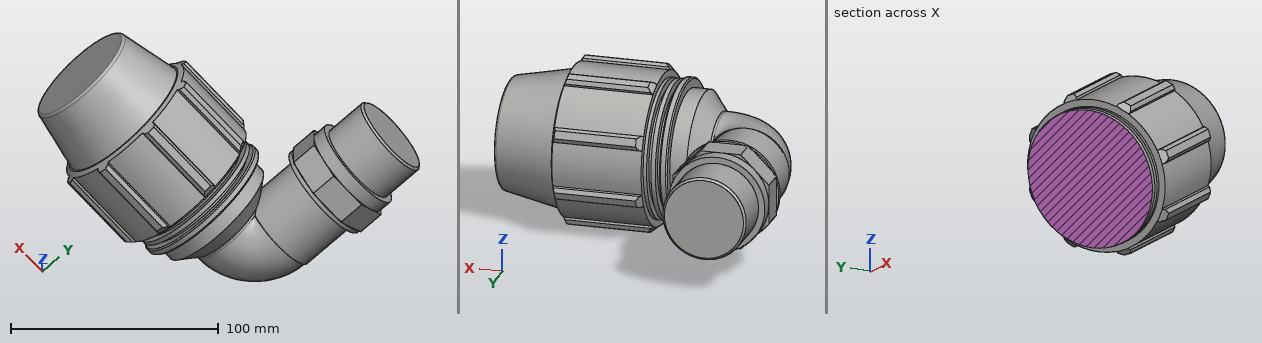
import cadquery as cq
import math


pipe_radius = 41.91 / 2
bend_center_x = 17.1
bend_center_y = 16.5

flange_radius = 50.29 / 2
flange_start_y = 45.85
octagon_start_y = 48.0
octagon_sides = 8
octagon_across_flats = 48.2
collar_start_y = 61.35
collar_end_y = 68.1
spigot_end_y = 90.0
spigot_chamfer = 1.1

cone_start_x = 18.3
body_start_x = 26.4
body_radius = 61.5 / 2
large_ring_radius = 71.34 / 2
large_ring_x = (34.8, 38.7)
large_ring_chamfer = 0.7
small_ring_radius = 69.2 / 2
small_ring_x = (40.9, 43.1)
nut_ring_start_x = 45.3

nut_start_x = 47.0
nut_end_x = 93.0
nut_radius = 38.1
nut_chamfer_length = 1.2
nut_chamfer_depth = 2.8
taper_start_radius = 34.5
taper_end_radius = 28.0
taper_end_x = 124.0
taper_end_fillet = 1.5

rib_count = 8
rib_top_half_width = 2.0
rib_half_width = 3.6
rib_shoulder = 39.1
rib_height_z = 77.16 / 2
rib_start_slope = 2.7
rib_root_depth = 2.0

rib_pitch = 360 / rib_count
half_pitch = math.radians(rib_pitch / 2)
rib_top = (rib_height_z - rib_top_half_width * math.sin(half_pitch)) / math.cos(half_pitch)


def cylinder_x(radius, start, end):
    return cq.Workplane("YZ").workplane(offset=start).circle(radius).extrude(end - start)


def cylinder_y(radius, start, end):
    return cq.Workplane("XZ").workplane(offset=-start).circle(radius).extrude(start - end)


def make_elbow():
    half_chord = math.sqrt(pipe_radius**2 - bend_center_y**2)
    section = (
        cq.Workplane("YZ", origin=(bend_center_x, 0, 0))
        .moveTo(bend_center_y, half_chord)
        .threePointArc((-pipe_radius, 0), (bend_center_y, -half_chord))
        .close()
    )
    bend = section.revolve(90, (bend_center_y, 0, 0), (bend_center_y, -1, 0))
    spigot_pipe = cylinder_y(pipe_radius, bend_center_y, flange_start_y)
    socket_pipe = cylinder_x(pipe_radius, bend_center_x, body_start_x)
    return bend.union(spigot_pipe).union(socket_pipe)


def make_spigot():
    corner_diameter = octagon_across_flats / math.cos(math.pi / octagon_sides)
    octagon = (
        cq.Workplane("XZ", origin=(0, octagon_start_y, 0))
        .transformed(rotate=(0, 0, 180 / octagon_sides))
        .polygon(octagon_sides, corner_diameter)
        .extrude(octagon_start_y - collar_start_y)
    )
    flange = cylinder_y(flange_radius, flange_start_y, octagon_start_y)
    collar = cylinder_y(octagon_across_flats / 2, collar_start_y, collar_end_y)
    thread = cylinder_y(pipe_radius, collar_end_y, spigot_end_y).faces(">Y").chamfer(spigot_chamfer)
    return flange.union(octagon).union(collar).union(thread)


def make_socket_body():
    body = (
        cq.Workplane("XY")
        .moveTo(cone_start_x, 0)
        .lineTo(cone_start_x, pipe_radius)
        .lineTo(body_start_x, body_radius)
        .lineTo(nut_start_x, body_radius)
        .lineTo(nut_start_x, 0)
        .close()
        .revolve(360, (0, 0, 0), (1, 0, 0))
    )
    large_ring = cylinder_x(large_ring_radius, *large_ring_x).faces("<X or >X").chamfer(large_ring_chamfer)
    small_ring = cylinder_x(small_ring_radius, *small_ring_x)
    nut_ring = cylinder_x(small_ring_radius, nut_ring_start_x, nut_start_x)
    return body.union(large_ring).union(small_ring).union(nut_ring)


def make_rib():
    root = nut_radius - rib_root_depth
    bar = (
        cq.Workplane("YZ", origin=(nut_start_x, 0, 0))
        .moveTo(-rib_half_width, root)
        .lineTo(-rib_half_width, rib_shoulder)
        .lineTo(-rib_top_half_width, rib_top)
        .lineTo(rib_top_half_width, rib_top)
        .lineTo(rib_half_width, rib_shoulder)
        .lineTo(rib_half_width, root)
        .close()
        .extrude(nut_end_x - nut_start_x)
    )
    side_outline = (
        cq.Workplane("XZ")
        .moveTo(nut_start_x, root)
        .lineTo(nut_start_x, nut_radius)
        .lineTo(nut_start_x + rib_start_slope, rib_top)
        .lineTo(nut_end_x, rib_top)
        .lineTo(nut_end_x, root)
        .close()
        .extrude(rib_half_width, both=True)
    )
    return bar.intersect(side_outline)


def make_chamfer_envelope():
    envelope_radius = math.hypot(rib_top, rib_half_width)
    end_radius = nut_radius - nut_chamfer_depth
    cone_slope = nut_chamfer_depth / nut_chamfer_length
    return (
        cylinder_x(envelope_radius, nut_start_x, nut_end_x)
        .faces(">X")
        .chamfer((envelope_radius - end_radius) / cone_slope, envelope_radius - end_radius)
    )


def make_nut():
    grip = cylinder_x(nut_radius, nut_start_x, nut_end_x)
    rib = make_rib()
    for index in range(rib_count):
        rib_angle = (index + 0.5) * rib_pitch
        grip = grip.union(rib.rotate((0, 0, 0), (1, 0, 0), rib_angle))
    grip = grip.intersect(make_chamfer_envelope())

    taper = (
        cq.Workplane("XY")
        .moveTo(nut_end_x, 0)
        .lineTo(nut_end_x, taper_start_radius)
        .lineTo(taper_end_x, taper_end_radius)
        .lineTo(taper_end_x, 0)
        .close()
        .revolve(360, (0, 0, 0), (1, 0, 0))
        .faces(">X")
        .edges()
        .fillet(taper_end_fillet)
    )
    return grip.union(taper)


result = make_elbow().union(make_spigot()).union(make_socket_body()).union(make_nut())